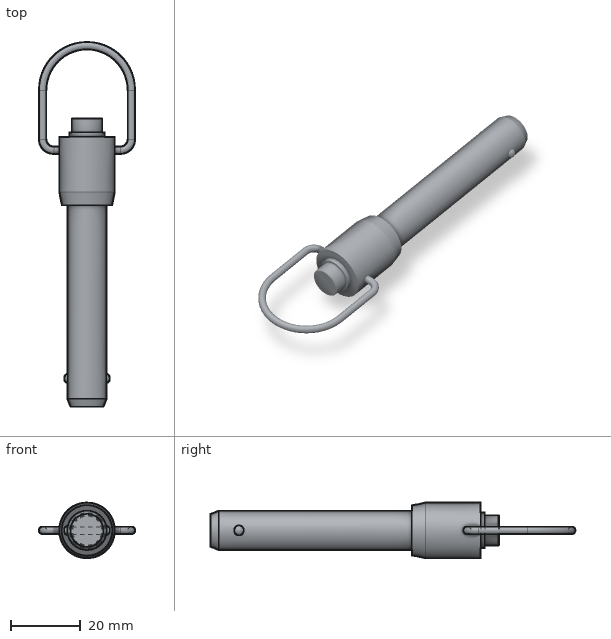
import cadquery as cq

total_length = 104.9
handle_width = 27.7

shank_radius = 5.7
tip_radius = 4.7
tip_chamfer_length = 2.3

body_radius = 8.02
body_taper_radius = 7.2
body_front = 57.9
body_taper_length = 3.9
body_back = 77.6

collar_radius = 5.1
collar_length = 1.3
button_radius = 4.4
button_back = 83.0
button_chamfer = 0.2

ball_radius = 1.5
ball_position = 8.2
ball_reach = 6.6

wire_diameter = 2.2
bend_radius = 3.1
handle_end_position = 73.7


def make_pin():
    """Shank, body, collar and button as one profile revolved about Y."""
    profile = (
        cq.Workplane("XY")
        .lineTo(tip_radius, 0)
        .lineTo(shank_radius, tip_chamfer_length)
        .lineTo(shank_radius, body_front)
        .lineTo(body_taper_radius, body_front)
        .lineTo(body_radius, body_front + body_taper_length)
        .lineTo(body_radius, body_back)
        .lineTo(collar_radius, body_back)
        .lineTo(collar_radius, body_back + collar_length)
        .lineTo(button_radius, body_back + collar_length)
        .lineTo(button_radius, button_back - button_chamfer)
        .lineTo(button_radius - button_chamfer, button_back)
        .lineTo(0, button_back)
        .close()
    )
    return profile.revolve(360, (0, 0, 0), (0, 1, 0))


def make_balls():
    """A pair of locking balls standing out of opposite sides of the shank."""
    offset = ball_reach - ball_radius
    return (
        cq.Workplane("XY")
        .pushPoints([(-offset, ball_position), (offset, ball_position)])
        .sphere(ball_radius)
    )


def make_handle():
    """Round wire bow whose ends run inward to meet inside the body."""
    arm_x = (handle_width - wire_diameter) / 2
    arch_start = total_length - handle_width / 2
    bend_end = handle_end_position + bend_radius
    path = (
        cq.Workplane("XY")
        .moveTo(0, handle_end_position)
        .lineTo(arm_x - bend_radius, handle_end_position)
        .tangentArcPoint((arm_x, bend_end), relative=False)
        .lineTo(arm_x, arch_start)
        .threePointArc((0, arch_start + arm_x), (-arm_x, arch_start))
        .lineTo(-arm_x, bend_end)
        .tangentArcPoint((bend_radius - arm_x, handle_end_position), relative=False)
        .lineTo(0, handle_end_position)
    )
    section = cq.Workplane("YZ").center(handle_end_position, 0).circle(wire_diameter / 2)
    return section.sweep(path)


result = make_pin().union(make_balls()).union(make_handle())